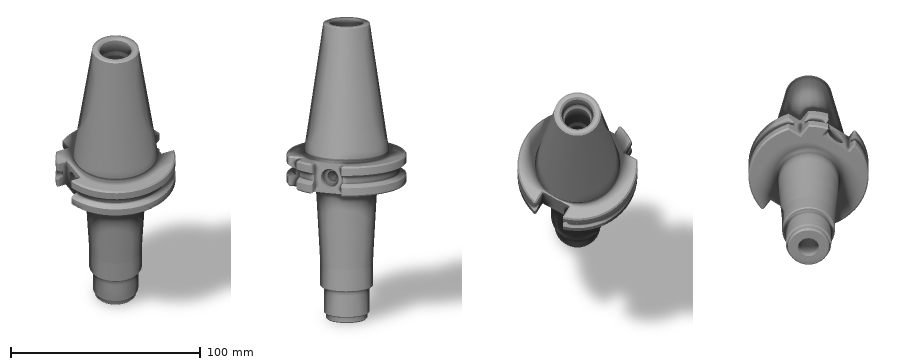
import cadquery as cq
import math

LENGTH = 161.5
GAUGE_Z = 92.4
FLANGE_TOP = 90.5
FLANGE_BOTTOM = 74.2
NECK_END = 29.9
COLLAR_END = 17.8
TIP_TOP = 3.0
FLANGE_MID = (FLANGE_TOP + FLANGE_BOTTOM) / 2
FLANGE_HEIGHT = FLANGE_TOP - FLANGE_BOTTOM

TAPER_RATIO = 7 / 24
GAUGE_R = 22.5
SMALL_END_R = GAUGE_R - (LENGTH - GAUGE_Z) * TAPER_RATIO / 2
SMALL_END_CHAMFER_WIDTH = 1.0
SMALL_END_CHAMFER_HEIGHT = 0.5
RELIEF_R = 22.1
RELIEF_FILLET = 0.8

NECK_TOP_R = 16.3
NECK_FILLET = 2.3
COLLAR_R = 28.0 / 2
COLLAR_CHAMFER = 0.5
NOSE_R = 24.0 / 2
NOSE_FILLET = 0.8
NOSE_CHAMFER_HEIGHT = 0.6
TIP_R = 22.0 / 2
TIP_CHAMFER = 0.6

FLANGE_R = 63.5 / 2
EDGE_CHAMFER = 0.8
GROOVE_R = 28.1
GROOVE_FLOOR_WIDTH = 3.5
GROOVE_MOUTH_WIDTH = 6.8
GROOVE_SLOPE = math.radians(30)

SLOT_HALF_WIDTH = 8.0
SLOT_CORNER_R = 0.5
FRONT_SLOT_FLOOR = 25.0
BACK_SLOT_FLOOR = 22.8
NOTCH_WALL = 18.4
NOTCH_CORNER_R = 0.6
POCKET_D = 10.0
POCKET_FLOOR_CHAMFER = 0.5
POCKET_DEPTH = 4.5
POCKET_DRILL_D = 6.0
POCKET_DRILL_DEPTH = 2.5
DRILL_POINT_ANGLE = math.radians(118)

BORE_MOUTH_R = 19.0 / 2
PILOT_R = 17.0 / 2
PILOT_DEPTH = 8.0
THREAD_R = 13.9 / 2
THREAD_DEPTH = 29.0
THROUGH_R = 11.0 / 2

REACH = 2 * FLANGE_R


def turned_body():
    """Taper, flange, neck and nose as one revolved outline (radius, height)."""
    fillet_mid = math.sqrt(0.5)
    relief_top = FLANGE_TOP + RELIEF_FILLET
    relief_mid = RELIEF_FILLET * (1 - fillet_mid)
    neck_top = FLANGE_BOTTOM - NECK_FILLET
    neck_mid = NECK_FILLET * (1 - fillet_mid)
    nose_top = COLLAR_END - NOSE_FILLET
    nose_mid = NOSE_FILLET * (1 - fillet_mid)
    outline = (
        cq.Workplane("XZ")
        .moveTo(0, 0)
        .lineTo(TIP_R - TIP_CHAMFER, 0)
        .lineTo(TIP_R, TIP_CHAMFER)
        .lineTo(TIP_R, TIP_TOP)
        .lineTo(NOSE_R, TIP_TOP + NOSE_CHAMFER_HEIGHT)
        .lineTo(NOSE_R, nose_top)
        .threePointArc((NOSE_R + nose_mid, COLLAR_END - nose_mid), (NOSE_R + NOSE_FILLET, COLLAR_END))
        .lineTo(COLLAR_R - COLLAR_CHAMFER, COLLAR_END)
        .lineTo(COLLAR_R, COLLAR_END + COLLAR_CHAMFER)
        .lineTo(COLLAR_R, NECK_END)
        .lineTo(NECK_TOP_R, neck_top)
        .threePointArc(
            (NECK_TOP_R + neck_mid, FLANGE_BOTTOM - neck_mid),
            (NECK_TOP_R + NECK_FILLET, FLANGE_BOTTOM),
        )
        .lineTo(FLANGE_R - EDGE_CHAMFER, FLANGE_BOTTOM)
        .lineTo(FLANGE_R, FLANGE_BOTTOM + EDGE_CHAMFER)
        .lineTo(FLANGE_R, FLANGE_TOP - EDGE_CHAMFER)
        .lineTo(FLANGE_R - EDGE_CHAMFER, FLANGE_TOP)
        .lineTo(RELIEF_R + RELIEF_FILLET, FLANGE_TOP)
        .threePointArc((RELIEF_R + relief_mid, FLANGE_TOP + relief_mid), (RELIEF_R, relief_top))
        .lineTo(GAUGE_R, GAUGE_Z)
        .lineTo(SMALL_END_R, LENGTH - SMALL_END_CHAMFER_HEIGHT)
        .lineTo(SMALL_END_R - SMALL_END_CHAMFER_WIDTH, LENGTH)
        .lineTo(0, LENGTH)
        .close()
    )
    return outline.revolve(360, (0, 0), (0, 1))


def gripper_groove():
    """V-groove around the flange rim, with a straight-walled channel at its bottom."""
    half_floor = GROOVE_FLOOR_WIDTH / 2
    half_mouth = GROOVE_MOUTH_WIDTH / 2
    channel_top_r = FLANGE_R - (half_mouth - half_floor) / math.tan(GROOVE_SLOPE)
    section = [
        (GROOVE_R, FLANGE_MID - half_floor),
        (channel_top_r, FLANGE_MID - half_floor),
        (FLANGE_R, FLANGE_MID - half_mouth),
        (FLANGE_R, FLANGE_MID + half_mouth),
        (channel_top_r, FLANGE_MID + half_floor),
        (GROOVE_R, FLANGE_MID + half_floor),
    ]
    return cq.Workplane("XZ").polyline(section).close().revolve(360, (0, 0), (0, 1))


def flange_levels():
    """Start height and direction of the edge chamfer on each flange face."""
    return [(FLANGE_TOP - EDGE_CHAMFER, 1), (FLANGE_BOTTOM + EDGE_CHAMFER, -1)]


def drive_slot(floor):
    """Slot open towards +Y, with rounded floor corners and chamfered walls."""
    flared_half = SLOT_HALF_WIDTH + EDGE_CHAMFER
    slot = (
        cq.Workplane("XY", origin=(0, floor, FLANGE_BOTTOM))
        .box(2 * SLOT_HALF_WIDTH, REACH, FLANGE_HEIGHT, centered=(True, False, False))
        .edges("|Z and <Y")
        .fillet(SLOT_CORNER_R)
    )
    for start, direction in flange_levels():
        flare = (
            cq.Workplane("XZ", origin=(0, floor, start))
            .moveTo(-SLOT_HALF_WIDTH, 0)
            .lineTo(SLOT_HALF_WIDTH, 0)
            .lineTo(flared_half, direction * EDGE_CHAMFER)
            .lineTo(-flared_half, direction * EDGE_CHAMFER)
            .close()
            .extrude(-REACH)
        )
        slot = slot.union(flare)
    mouth = math.sqrt(FLANGE_R**2 - flared_half**2)
    mouth_flare = (
        cq.Workplane("XY", origin=(0, 0, FLANGE_BOTTOM))
        .moveTo(-SLOT_HALF_WIDTH, mouth - EDGE_CHAMFER)
        .lineTo(SLOT_HALF_WIDTH, mouth - EDGE_CHAMFER)
        .lineTo(flared_half, mouth)
        .lineTo(flared_half, REACH)
        .lineTo(-flared_half, REACH)
        .lineTo(-flared_half, mouth)
        .close()
        .extrude(FLANGE_HEIGHT)
    )
    return slot.union(mouth_flare)


def orientation_notch():
    """Square corner notch towards -X -Y, with chamfered upper and lower edges."""
    side = REACH - NOTCH_WALL
    centre = -(REACH + NOTCH_WALL) / 2
    notch = (
        cq.Workplane("XY", origin=(centre, centre, FLANGE_BOTTOM))
        .rect(side, side)
        .extrude(FLANGE_HEIGHT)
        .edges("|Z and >X and >Y")
        .fillet(NOTCH_CORNER_R)
    )
    for start, direction in flange_levels():
        flare = (
            cq.Workplane("XY", origin=(centre, centre, start))
            .rect(side, side)
            .workplane(offset=direction * EDGE_CHAMFER)
            .rect(side + 2 * EDGE_CHAMFER, side + 2 * EDGE_CHAMFER)
            .loft(ruled=True)
        )
        notch = notch.union(flare)
    return notch


def chip_pocket():
    """Stepped blind hole in the -Y slot floor, with a chamfered floor corner and a drill point."""
    drill_r = POCKET_DRILL_D / 2
    pocket_r = POCKET_D / 2
    drill_end = POCKET_DEPTH + POCKET_DRILL_DEPTH
    point_end = drill_end + drill_r / math.tan(DRILL_POINT_ANGLE / 2)
    return (
        cq.Workplane("XY", origin=(0, -FRONT_SLOT_FLOOR, FLANGE_MID))
        .lineTo(pocket_r, 0)
        .lineTo(pocket_r, POCKET_DEPTH - POCKET_FLOOR_CHAMFER)
        .lineTo(pocket_r - POCKET_FLOOR_CHAMFER, POCKET_DEPTH)
        .lineTo(drill_r, POCKET_DEPTH)
        .lineTo(drill_r, drill_end)
        .lineTo(0, point_end)
        .close()
        .revolve(360, (0, 0), (0, 1))
    )


def axial_bore():
    """Mouth chamfer, pilot, thread core and through hole; each step is a 45 degree cone."""
    pilot_end = LENGTH - PILOT_DEPTH
    thread_end = LENGTH - THREAD_DEPTH
    section = [
        (0, 0),
        (THROUGH_R, 0),
        (THROUGH_R, thread_end - (THREAD_R - THROUGH_R)),
        (THREAD_R, thread_end),
        (THREAD_R, pilot_end - (PILOT_R - THREAD_R)),
        (PILOT_R, pilot_end),
        (PILOT_R, LENGTH - (BORE_MOUTH_R - PILOT_R)),
        (BORE_MOUTH_R, LENGTH),
        (0, LENGTH),
    ]
    return cq.Workplane("XZ").polyline(section).close().revolve(360, (0, 0), (0, 1))


back_slot = drive_slot(BACK_SLOT_FLOOR)
front_slot = drive_slot(FRONT_SLOT_FLOOR).rotate((0, 0, 0), (0, 0, 1), 180)

result = (
    turned_body()
    .cut(back_slot)
    .cut(front_slot)
    .cut(orientation_notch())
    .cut(gripper_groove())
    .cut(chip_pocket())
    .cut(axial_bore())
)